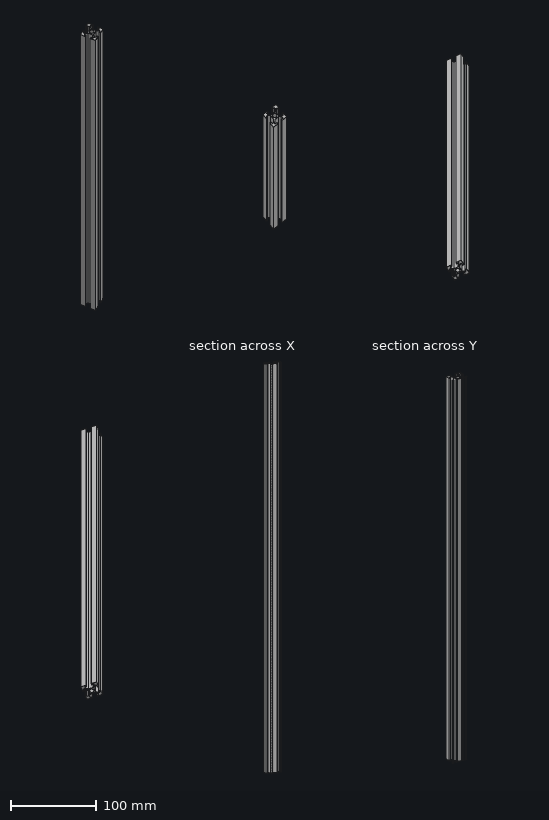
import cadquery as cq
import math

side = 20.0
length = 500.0

slot_count = 4
slot_opening = 6.2
lip_thickness = 1.8
slot_inner_width = 11.0

core_width = 7.8
bore_diameter = 5.0
web_thickness = 1.5

half_side = side / 2
half_core = core_width / 2
half_opening = slot_opening / 2
half_inner = slot_inner_width / 2
lip_level = half_side - lip_thickness
web_offset = web_thickness / math.sqrt(2)


def make_bar():
    """Solid square bar, its lower end on Z = 0."""
    return cq.Workplane("XY").rect(side, side).extrude(length)


def make_bore():
    """Round bore through the core."""
    return cq.Workplane("XY").circle(bore_diameter / 2).extrude(length)


def make_slot():
    """T-slot in the +Y face, narrowing along the webs down to the core."""
    right_side = [
        (half_opening, half_side),
        (half_opening, lip_level),
        (half_inner, lip_level),
        (half_inner, half_inner + web_offset),
        (half_core - web_offset, half_core),
    ]
    left_side = [(-x, y) for x, y in reversed(right_side)]
    return cq.Workplane("XY").polyline(right_side + left_side).close().extrude(length)


result = make_bar().cut(make_bore())
for index in range(slot_count):
    slot = make_slot().rotate((0, 0, 0), (0, 0, 1), index * 360 / slot_count)
    result = result.cut(slot)